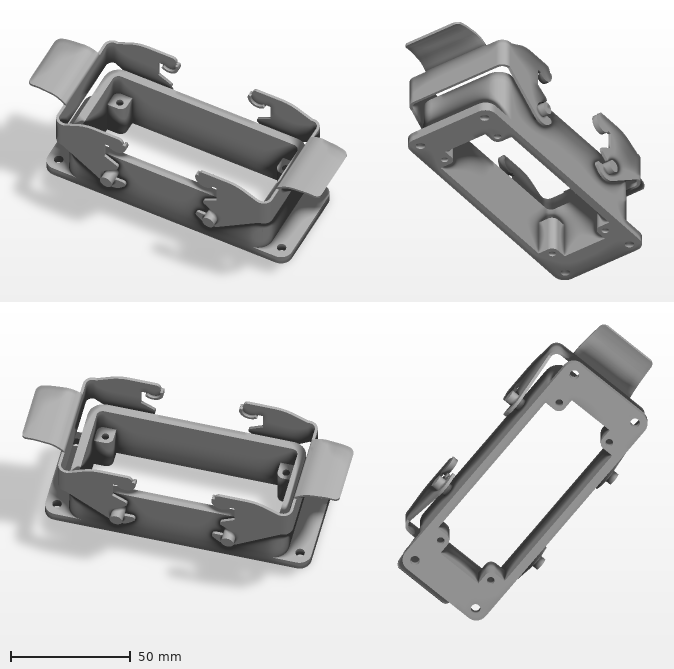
import cadquery as cq
import math

HOUSING_WIDTH = 43.5
HOUSING_HEIGHT = 27.6
FLANGE_LENGTH = 114.3
FLANGE_THICKNESS = 4.1
FLANGE_CORNER_RADIUS = 5.0
FLANGE_HOLE_X = 52.2
FLANGE_HOLE_Y = 16.4
FLANGE_HOLE_DIAMETER = 4.0
BODY_LENGTH_BOTTOM = 94.5
BODY_LENGTH_TOP = 93.6
BODY_CORNER_RADIUS = 6.7
CAVITY_LENGTH = 86.1
CAVITY_WIDTH = 36.1
CAVITY_CORNER_RADIUS = 2.6
CAVITY_DRAFT = 0.3

BOSS_SIZE = 7.8
BOSS_HEIGHT = 16.4
BOSS_CORNER_RADIUS = 3.0
BOSS_HOLE_X = 38.8
BOSS_HOLE_Y = 13.5
BOSS_HOLE_DIAMETER = 3.1

PIN_X = 23.9
PIN_Z = 17.9
PIN_RADIUS = 2.7
PIN_SPAN = 57.0

SHEET = 1.2
LEVER_END_X = 50.5
LEVER_HALF_WIDTH = 25.3
LEVER_BEND_RADIUS = 4.1
STRAP_BOTTOM = 26.8
STRAP_TOP = 39.9
LEVER_TOP = 44.8
SHOULDER_START_X = 45.4
SHOULDER_END_X = 38.1
SHOULDER_END_Z = 43.5
TOP_START_X = 31.9
TOP_END_X = 19.4
NOTCH_X = 26.2
NOTCH_BOTTOM = 30.3
NOTCH_TOP = 38.3
BEAK_X = 20.8
BEAK_TOP = 27.3
BEAK_BOTTOM = 24.7
BEAK_TIP_X = 20.0
FINGER_TIP_X = 16.7
FINGER_BOTTOM = 12.2

LOBE_X = 20.8
LOBE_Z = 40.6
LOBE_RADIUS = 4.5
LIP_DEPTH = 1.2
LIP_START_ANGLE = 223
LIP_END_ANGLE = 380

GRIP_TIP_X = 68.4
GRIP_TOP = 43.7
GRIP_THICKNESS = 1.1
GRIP_TIP_BEND_X = 61.1
GRIP_TIP_BEND_RADIUS = 19.8
GRIP_ROOT_BEND_X = 56.6
GRIP_ROOT_BEND_RADIUS = 9.5
GRIP_ROOT_ANGLE = 31
GRIP_STRAP_BEND_RADIUS = 1.5
GRIP_TIP_HALF_WIDTH = 13.7
GRIP_ROOT_HALF_WIDTH = 15.3
GRIP_CORNER_RADIUS = 2.7


def four_corners(x, y):
    return [(sx * x, sy * y) for sx in (-1, 1) for sy in (-1, 1)]


def on_circle(center_x, center_z, radius, angle):
    """Point at an angle in degrees, counted from +X towards +Z."""
    turn = math.radians(angle)
    return (center_x + radius * math.cos(turn), center_z + radius * math.sin(turn))


def along_y(outline, y_from, y_to):
    """Extrude an outline drawn on the XZ plane between two Y positions."""
    return outline.extrude(y_from - y_to).translate((0, y_from, 0))


def make_housing():
    flange = (
        cq.Workplane("XY")
        .rect(FLANGE_LENGTH, HOUSING_WIDTH)
        .extrude(FLANGE_THICKNESS)
        .edges("|Z")
        .fillet(FLANGE_CORNER_RADIUS)
        .faces(">Z")
        .workplane()
        .pushPoints(four_corners(FLANGE_HOLE_X, FLANGE_HOLE_Y))
        .hole(FLANGE_HOLE_DIAMETER)
    )
    end_profile = cq.Workplane("XZ").polyline([
        (-BODY_LENGTH_BOTTOM / 2, 0),
        (BODY_LENGTH_BOTTOM / 2, 0),
        (BODY_LENGTH_TOP / 2, HOUSING_HEIGHT),
        (-BODY_LENGTH_TOP / 2, HOUSING_HEIGHT),
    ]).close()
    body = along_y(end_profile, -HOUSING_WIDTH / 2, HOUSING_WIDTH / 2)
    body = body.edges("not(#Z or |Y)").fillet(BODY_CORNER_RADIUS)
    return flange.union(body).cut(make_cavity())


def make_cavity():
    """Straight opening up to the boss tops, then flaring slightly to the rim."""
    lower = (
        cq.Workplane("XY")
        .rect(CAVITY_LENGTH, CAVITY_WIDTH)
        .extrude(BOSS_HEIGHT)
        .edges("|Z")
        .fillet(CAVITY_CORNER_RADIUS)
    )
    upper = lower.faces(">Z").wires().toPending().workplane().extrude(
        HOUSING_HEIGHT - BOSS_HEIGHT, combine=False, taper=-CAVITY_DRAFT
    )
    return lower.union(upper)


def make_bosses():
    inner_x = CAVITY_LENGTH / 2 - BOSS_SIZE
    inner_y = CAVITY_WIDTH / 2 - BOSS_SIZE
    outer_x = (CAVITY_LENGTH + BODY_LENGTH_TOP) / 4
    outer_y = (CAVITY_WIDTH + HOUSING_WIDTH) / 4
    boss = (
        cq.Workplane("XY")
        .moveTo(inner_x, inner_y)
        .lineTo(outer_x, inner_y)
        .lineTo(outer_x, outer_y)
        .lineTo(inner_x, outer_y)
        .close()
        .extrude(BOSS_HEIGHT)
        .edges("|Z and <X and <Y")
        .fillet(BOSS_CORNER_RADIUS)
        .cut(
            cq.Workplane("XY")
            .center(BOSS_HOLE_X, BOSS_HOLE_Y)
            .circle(BOSS_HOLE_DIAMETER / 2)
            .extrude(BOSS_HEIGHT)
        )
    )
    pair = boss.union(boss.mirror("YZ"))
    return pair.union(pair.mirror("XZ"))


def make_side_plate_outline():
    """Side arm of the left lever: hook lobe above, notch, and the open seat that holds the pin."""
    lobe_start = on_circle(-LOBE_X, LOBE_Z, LOBE_RADIUS, LIP_START_ANGLE)
    lobe_bottom = (-LOBE_X, LOBE_Z - LOBE_RADIUS)
    lobe_end = on_circle(-LOBE_X, LOBE_Z, LOBE_RADIUS, LIP_END_ANGLE)
    bend_start = -LEVER_END_X + LEVER_BEND_RADIUS
    return (
        cq.Workplane("XZ")
        .moveTo(bend_start, STRAP_BOTTOM)
        .lineTo(bend_start, STRAP_TOP)
        .lineTo(-SHOULDER_START_X, STRAP_TOP)
        .lineTo(-SHOULDER_END_X, SHOULDER_END_Z)
        .threePointArc((-35.1, 44.4), (-TOP_START_X, LEVER_TOP))
        .lineTo(-TOP_END_X, LEVER_TOP)
        .threePointArc((-18.2, 43.9), (-17.8, lobe_end[1]))
        .lineTo(*lobe_end)
        .threePointArc(lobe_bottom, lobe_start)
        .lineTo(lobe_start[0], NOTCH_TOP)
        .lineTo(-NOTCH_X, NOTCH_TOP)
        .lineTo(-NOTCH_X, NOTCH_BOTTOM)
        .lineTo(-BEAK_X, BEAK_TOP)
        .threePointArc((-BEAK_TIP_X, (BEAK_TOP + BEAK_BOTTOM) / 2), (-BEAK_X, BEAK_BOTTOM))
        .lineTo(-25.5, 21.2)
        .threePointArc((-26.4, 20.0), (-PIN_X - PIN_RADIUS, PIN_Z))
        .threePointArc((-PIN_X, PIN_Z - PIN_RADIUS), (-PIN_X + PIN_RADIUS, PIN_Z))
        .lineTo(-17.6, PIN_Z)
        .threePointArc((-16.8, 17.4), (-FINGER_TIP_X, 15.7))
        .lineTo(-19.3, 13.3)
        .threePointArc((-23.4, FINGER_BOTTOM), (-27.0, 13.4))
        .close()
    )


def make_lip():
    """Lip along the hook lobe, turned inward from the side arm."""
    inner_radius = LOBE_RADIUS - SHEET
    middle_angle = (LIP_START_ANGLE + LIP_END_ANGLE) / 2

    def lobe_point(radius, angle):
        return on_circle(-LOBE_X, LOBE_Z, radius, angle)

    outline = (
        cq.Workplane("XZ")
        .moveTo(*lobe_point(LOBE_RADIUS, LIP_START_ANGLE))
        .threePointArc(lobe_point(LOBE_RADIUS, middle_angle), lobe_point(LOBE_RADIUS, LIP_END_ANGLE))
        .lineTo(*lobe_point(inner_radius, LIP_END_ANGLE))
        .threePointArc(lobe_point(inner_radius, middle_angle), lobe_point(inner_radius, LIP_START_ANGLE))
        .close()
    )
    return along_y(outline, -LEVER_HALF_WIDTH, -LEVER_HALF_WIDTH + SHEET + LIP_DEPTH)


def make_strap():
    """U-shaped band around the housing end, ending where its bends meet the side arms."""
    def block(inset):
        length = LEVER_END_X - inset
        width = 2 * (LEVER_HALF_WIDTH - inset)
        return (
            cq.Workplane("XY", origin=(-length / 2, 0, STRAP_BOTTOM))
            .rect(length, width)
            .extrude(STRAP_TOP - STRAP_BOTTOM)
            .edges("|Z and <X")
            .fillet(LEVER_BEND_RADIUS - inset)
        )

    bends = cq.Workplane("XY", origin=(-LEVER_END_X, 0, 0)).box(
        2 * LEVER_BEND_RADIUS, 2 * LEVER_HALF_WIDTH, 2 * STRAP_TOP
    )
    return block(0).cut(block(SHEET)).intersect(bends)


def make_grip():
    """Finger grip curving up and outward from the top of the strap, narrowing to its tip."""
    tip_center_z = GRIP_TOP - GRIP_TIP_BEND_RADIUS
    root_center_z = GRIP_TOP - GRIP_ROOT_BEND_RADIUS
    tip_angle = 90 + math.degrees(math.asin((GRIP_TIP_X - GRIP_TIP_BEND_X) / GRIP_TIP_BEND_RADIUS))
    slope = math.tan(math.radians(GRIP_ROOT_ANGLE))
    strap_inner_x = -LEVER_END_X + SHEET

    def tip_point(depth, angle):
        return on_circle(-GRIP_TIP_BEND_X, tip_center_z, GRIP_TIP_BEND_RADIUS - depth, angle)

    def root_point(depth, angle):
        return on_circle(-GRIP_ROOT_BEND_X, root_center_z, GRIP_ROOT_BEND_RADIUS - depth, angle)

    root_angle = 90 - GRIP_ROOT_ANGLE
    upper_root = root_point(0, root_angle)
    bend_x = strap_inner_x - GRIP_STRAP_BEND_RADIUS
    bend_start_x = bend_x + GRIP_STRAP_BEND_RADIUS * math.cos(math.radians(root_angle))
    bend_start_z = upper_root[1] - slope * (bend_start_x - upper_root[0])
    bend_z = bend_start_z - GRIP_STRAP_BEND_RADIUS * math.sin(math.radians(root_angle))
    lower_root = root_point(GRIP_THICKNESS, root_angle)
    profile = (
        cq.Workplane("XZ")
        .moveTo(*tip_point(0, tip_angle))
        .threePointArc(tip_point(0, (90 + tip_angle) / 2), tip_point(0, 90))
        .lineTo(*root_point(0, 90))
        .threePointArc(root_point(0, (90 + root_angle) / 2), upper_root)
        .lineTo(bend_start_x, bend_start_z)
        .threePointArc(
            on_circle(bend_x, bend_z, GRIP_STRAP_BEND_RADIUS, root_angle / 2), (strap_inner_x, bend_z)
        )
        .lineTo(strap_inner_x, STRAP_TOP)
        .lineTo(-LEVER_END_X, STRAP_TOP)
        .lineTo(-LEVER_END_X, lower_root[1] - slope * (-LEVER_END_X - lower_root[0]))
        .lineTo(*lower_root)
        .threePointArc(root_point(GRIP_THICKNESS, (90 + root_angle) / 2), root_point(GRIP_THICKNESS, 90))
        .lineTo(*tip_point(GRIP_THICKNESS, 90))
        .threePointArc(
            tip_point(GRIP_THICKNESS, (90 + tip_angle) / 2), tip_point(GRIP_THICKNESS, tip_angle)
        )
        .close()
    )
    plan = (
        cq.Workplane("XY")
        .polyline([
            (-GRIP_TIP_X, -GRIP_TIP_HALF_WIDTH),
            (strap_inner_x, -GRIP_ROOT_HALF_WIDTH),
            (strap_inner_x, GRIP_ROOT_HALF_WIDTH),
            (-GRIP_TIP_X, GRIP_TIP_HALF_WIDTH),
        ])
        .close()
        .extrude(LEVER_TOP)
        .edges("|Z and <X")
        .fillet(GRIP_CORNER_RADIUS)
    )
    return along_y(profile, -GRIP_ROOT_HALF_WIDTH, GRIP_ROOT_HALF_WIDTH).intersect(plan)


def make_pin():
    outline = cq.Workplane("XZ").center(-PIN_X, PIN_Z).circle(PIN_RADIUS)
    wall_middle = (CAVITY_WIDTH + HOUSING_WIDTH) / 4
    return along_y(outline, -PIN_SPAN / 2, -wall_middle)


def make_lever():
    """Left lever together with the two pins it turns on."""
    plate = along_y(make_side_plate_outline(), -LEVER_HALF_WIDTH, -LEVER_HALF_WIDTH + SHEET)
    side = plate.union(make_lip()).union(make_pin())
    return make_strap().union(make_grip()).union(side).union(side.mirror("XZ"))


lever = make_lever()
result = make_housing().union(make_bosses()).union(lever).union(lever.mirror("YZ"))